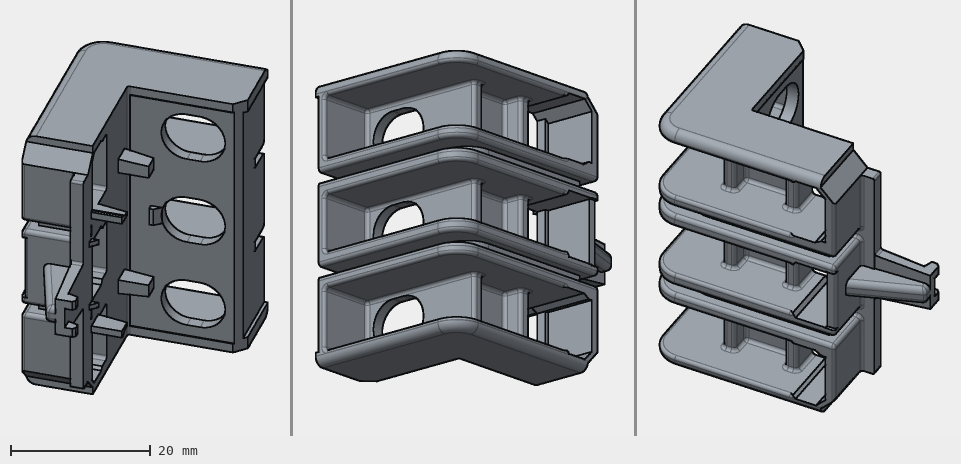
import cadquery as cq

HALF_HEIGHT = 21.2
LENGTH_X = 27.5
SIDE_LEG_WIDTH = 10.0
SIDE_LEG_END = -30.05
BACK_LEG_FRONT = -11.25
BACK_LEG_CHAMFER = 1.7
CORNER_RADIUS = 4.05
INSIDE_CORNER_RADIUS = 0.35
END_EDGE_RADIUS = 0.42
OUTER_EDGE_RADIUS = 1.45
GAP_EDGE_RADIUS = 0.65
RIGHT_LIP = 0.55
RIGHT_LIP_INNER_Z = 19.25
FRONT_LIP_INNER_Z = 19.7

BAR_END = -27.77
BAR_THICKNESS = 1.2
SLOPE_END_Z = 17.65

GAP_TOP = 7.9
GAP_BOTTOM = 6.3
WEB_INSET_X = 2.0
WEB_INSET_Y = 4.4
WEB_INSET_END = 1.9

OUTER_BAY_FLOOR = 9.7
OUTER_BAY_CEILING = 19.2
OUTER_BAY_CEILING_STEP = 0.42
OUTER_BAY_FLOOR_RISE = 0.65
FLOOR_RISE_START = -26.9
FLOOR_RISE_END = -27.9
MIDDLE_BAY_HALF_HEIGHT = 4.32
MIDDLE_BAY_STEP = 0.68
STEP_START = -23.25
STEP_LENGTH = 0.5
BAY_END = -28.58
BAY_OVERSHOOT = 2.1
WINDOW_END = -28.0
WINDOW_START = -21.1
CEILING_SLOPE_START = -27.05
MIDDLE_WALL_INSET = 0.5
MIDDLE_WALL_HALF_HEIGHT = 5.1

COLUMN_FACE_X = 5.25
BAY_FILLET = 0.55
MOUTH_FILLET = 0.5
SIDE_WALL_FACE_X = 8.4
BACK_PLATE_BACK = -9.15
BACK_PLATE_FRONT = -11.05
REAR_COLUMN_FRONT = -19.15
END_WALL_FACE_X = 25.85

HOLE_X = 19.8
HOLE_WIDTH = 9.6
HOLE_HEIGHT = 7.6
HOLE_PITCH = 14.15

FLANGE_X = 8.05
FLANGE_END = -32.22
FLANGE_HALF_HEIGHT = 17.65
ARM_TIP = -41.0
ARM_ROOT_HALF_HEIGHT = 3.77
ARM_TIP_HALF_HEIGHT = 3.0
ARM_TIP_X = 8.6
RIB_HALF_HEIGHT = 1.4
RIB_ROOT_X = 3.4
RIB_TIP_X = 7.2
RIB_EDGE_RADIUS = 0.95
RIB_TIP_RADIUS = 0.5
ARM_ROOT_FILLET = 0.4
FLANGE_FILLET = 0.45
FLANGE_EDGE_RADIUS = 0.35
HOOK_END_X = 11.55
HOOK_ROOT = -39.25
HOOK_INNER_Z = 1.6
HOOK_OVERLAP = 0.42
HOOK_TIP_CHAMFER = 0.42
HOOK_TIP_LENGTH = 1.27

TAB_END_X = 14.6
TAB_BOTTOM = 9.15
REAR_TAB_ROOT_START = -12.68
REAR_TAB_TIP_START = -13.35
REAR_TAB_END = -15.7
REAR_TAB_ROOT_TOP = 11.45
REAR_TAB_TIP_TOP = 11.1
FRONT_TAB_ROOT_START = -25.15
FRONT_TAB_TIP_START = -25.95
FRONT_TAB_END = -28.35
FRONT_TAB_TOP = 10.25
NUB_Z = (4.95, 5.75)
NUB_LENGTH = 1.05

STOP_HALF_HEIGHT = 1.35
STOP_START_X = 13.45
STOP_FLAT_END_X = 14.05
STOP_END_X = 15.2
STOP_DEPTH = 0.85


def box(x_range, y_range, z_range):
    """Axis-aligned block given by its limits."""
    size = [limits[1] - limits[0] for limits in (x_range, y_range, z_range)]
    corner = (x_range[0], y_range[0], z_range[0])
    return cq.Workplane("XY").box(*size, centered=False).translate(corner)


def plan_prism(points, z_low, z_high):
    """Vertical prism over a closed XY polygon."""
    return cq.Workplane("XY").workplane(offset=z_low).polyline(points).close().extrude(z_high - z_low)


def side_prism(points, x_low, x_high):
    """Prism along X over a closed YZ polygon."""
    return cq.Workplane("YZ").workplane(offset=x_low).polyline(points).close().extrude(x_high - x_low)


def mirrored(shape):
    """The shape joined with its mirror image below z = 0."""
    return shape.union(shape.mirror("XY"))


def nearest(x, y, z):
    """Selector of the edge or face whose centre is nearest to a point."""
    return cq.selectors.NearestToPointSelector((x, y, z))


def l_block(z_low, z_high, inset_x=0.0, inset_y=0.0, inset_end=0.0):
    """L-shaped slab; the insets move its left side, back side and free end inwards."""
    end = SIDE_LEG_END + inset_end
    outline = [
        (inset_x, -inset_y),
        (LENGTH_X, -inset_y),
        (LENGTH_X, BACK_LEG_FRONT + BACK_LEG_CHAMFER),
        (LENGTH_X - BACK_LEG_CHAMFER, BACK_LEG_FRONT),
        (SIDE_LEG_WIDTH, BACK_LEG_FRONT),
        (SIDE_LEG_WIDTH, end),
        (inset_x, end),
    ]
    slab = plan_prism(outline, z_low, z_high)
    slab = slab.edges("|Z and <X and >Y").fillet(CORNER_RADIUS)
    inside_corner = nearest(SIDE_LEG_WIDTH, BACK_LEG_FRONT, (z_low + z_high) / 2)
    return slab.edges("|Z").edges(inside_corner).fillet(INSIDE_CORNER_RADIUS)


def side_envelope():
    """YZ silhouette of the body with the sloped free end."""
    upper_half = [
        (0, HALF_HEIGHT),
        (BAR_END, HALF_HEIGHT),
        (BAR_END, HALF_HEIGHT - BAR_THICKNESS),
        (SIDE_LEG_END, SLOPE_END_Z),
    ]
    lower_half = [(y, -z) for y, z in reversed(upper_half)]
    return side_prism(upper_half + lower_half, 0, LENGTH_X)


def storey_blocks():
    """Three rounded storeys joined by the recessed webs in the gaps."""
    upper = l_block(GAP_TOP, HALF_HEIGHT).intersect(side_envelope())
    upper = upper.faces(">Z").edges("<X").fillet(OUTER_EDGE_RADIUS)
    upper = upper.edges("|Z and <Y and <X").fillet(END_EDGE_RADIUS)
    upper = upper.faces("<Z").edges("<X").fillet(GAP_EDGE_RADIUS)
    middle = l_block(-GAP_BOTTOM, GAP_BOTTOM)
    middle = middle.edges("|Z and <Y and <X").fillet(END_EDGE_RADIUS)
    middle = middle.faces("<Z or >Z").edges("<X").fillet(GAP_EDGE_RADIUS)
    web = l_block(-GAP_TOP, GAP_TOP, WEB_INSET_X, WEB_INSET_Y, WEB_INSET_END)
    return mirrored(upper).union(middle).union(web)


def open_bay(floor, ceiling):
    """Air of one bay around the columns; it reaches past the open left and back sides."""
    outline = [
        (-BAY_OVERSHOOT, BAY_OVERSHOOT),
        (END_WALL_FACE_X, BAY_OVERSHOOT),
        (END_WALL_FACE_X, BACK_PLATE_BACK),
        (COLUMN_FACE_X, BACK_PLATE_BACK),
        (COLUMN_FACE_X, BACK_PLATE_FRONT),
        (SIDE_WALL_FACE_X, BACK_PLATE_FRONT),
        (SIDE_WALL_FACE_X, REAR_COLUMN_FRONT),
        (COLUMN_FACE_X, REAR_COLUMN_FRONT),
        (COLUMN_FACE_X, WINDOW_START),
        (SIDE_LEG_WIDTH + BAY_OVERSHOOT, WINDOW_START),
        (SIDE_LEG_WIDTH + BAY_OVERSHOOT, STEP_START),
        (-BAY_OVERSHOOT, STEP_START),
    ]
    air = plan_prism(outline, floor, ceiling)
    air = air.edges("|Z").fillet(BAY_FILLET)
    return air.faces("<Z or >Z").edges().fillet(BAY_FILLET)


def end_room(x_low, x_high, y_end):
    """Stepped and sloped end of all three bays between two X limits, up to the end wall."""
    start = WINDOW_START - BAY_FILLET
    ceiling = OUTER_BAY_CEILING + OUTER_BAY_CEILING_STEP
    floor = OUTER_BAY_FLOOR + OUTER_BAY_FLOOR_RISE
    outer = [
        (start, OUTER_BAY_FLOOR),
        (FLOOR_RISE_START, OUTER_BAY_FLOOR),
        (FLOOR_RISE_END, floor),
        (y_end, floor),
        (y_end, ceiling - (CEILING_SLOPE_START - y_end)),
        (CEILING_SLOPE_START, ceiling),
        (STEP_START - STEP_LENGTH, ceiling),
        (STEP_START, OUTER_BAY_CEILING),
        (start, OUTER_BAY_CEILING),
    ]
    stepped = MIDDLE_BAY_HALF_HEIGHT + MIDDLE_BAY_STEP
    middle_upper = [
        (start, MIDDLE_BAY_HALF_HEIGHT),
        (STEP_START, MIDDLE_BAY_HALF_HEIGHT),
        (STEP_START - STEP_LENGTH, stepped),
        (y_end, stepped),
    ]
    middle = middle_upper + [(y, -z) for y, z in reversed(middle_upper)]
    return mirrored(side_prism(outer, x_low, x_high)).union(side_prism(middle, x_low, x_high))


def cut_bays(solid):
    """Open the three bays and their windows, and round the edges of their mouths."""
    levels = [
        (OUTER_BAY_FLOOR, OUTER_BAY_CEILING),
        (-MIDDLE_BAY_HALF_HEIGHT, MIDDLE_BAY_HALF_HEIGHT),
        (-OUTER_BAY_CEILING, -OUTER_BAY_FLOOR),
    ]
    for floor, ceiling in levels:
        solid = solid.cut(open_bay(floor, ceiling))
        floor_edge = nearest(0, (STEP_START - CORNER_RADIUS) / 2, floor)
        solid = solid.edges("|Y").edges(floor_edge).fillet(MOUTH_FILLET)
    solid = solid.cut(end_room(0, SIDE_WALL_FACE_X, BAY_END))
    solid = solid.cut(end_room(SIDE_WALL_FACE_X, SIDE_LEG_WIDTH, WINDOW_END))
    middle_wall_relief = box(
        (0, MIDDLE_WALL_INSET),
        (SIDE_LEG_END, BAY_END),
        (-MIDDLE_WALL_HALF_HEIGHT, MIDDLE_WALL_HALF_HEIGHT),
    )
    solid = solid.cut(middle_wall_relief)
    relief_edge = nearest(MIDDLE_WALL_INSET, SIDE_LEG_END, 0)
    return solid.edges("|Z").edges(relief_edge).fillet(END_EDGE_RADIUS)


def back_plate_cuts():
    """Obround holes, the shallow recess of the back plate's front face and the right end's recess."""
    holes = (
        cq.Workplane("XZ", origin=(HOLE_X, 0, 0))
        .pushPoints([(0, -HOLE_PITCH), (0, 0), (0, HOLE_PITCH)])
        .slot2D(HOLE_WIDTH, HOLE_HEIGHT)
        .extrude(-BACK_LEG_FRONT)
    )
    recess = box(
        (SIDE_LEG_WIDTH + INSIDE_CORNER_RADIUS, LENGTH_X),
        (BACK_LEG_FRONT, BACK_PLATE_FRONT),
        (-FRONT_LIP_INNER_Z, FRONT_LIP_INNER_Z),
    )
    end_recess = box(
        (LENGTH_X - RIGHT_LIP, LENGTH_X),
        (BACK_LEG_FRONT, 0),
        (-RIGHT_LIP_INNER_Z, RIGHT_LIP_INNER_Z),
    )
    return holes.union(recess).union(end_recess)


def arm_blade():
    """Tapered plate of the latch arm with its two hooks."""
    plate_plan = [
        (FLANGE_X, BAY_END),
        (SIDE_LEG_WIDTH, BAY_END),
        (SIDE_LEG_WIDTH, ARM_TIP),
        (ARM_TIP_X, ARM_TIP),
    ]
    plate = plan_prism(plate_plan, -ARM_ROOT_HALF_HEIGHT, ARM_ROOT_HALF_HEIGHT)
    hook_plan = [
        (SIDE_LEG_WIDTH - HOOK_OVERLAP, ARM_TIP),
        (HOOK_END_X - HOOK_TIP_CHAMFER, ARM_TIP),
        (HOOK_END_X, ARM_TIP + HOOK_TIP_CHAMFER),
        (HOOK_END_X, ARM_TIP + HOOK_TIP_LENGTH),
        (SIDE_LEG_WIDTH, HOOK_ROOT),
        (SIDE_LEG_WIDTH - HOOK_OVERLAP, HOOK_ROOT),
    ]
    hooks = mirrored(plan_prism(hook_plan, HOOK_INNER_Z, ARM_ROOT_HALF_HEIGHT))
    upper_taper = [
        (BAY_END, ARM_ROOT_HALF_HEIGHT),
        (FLANGE_END, ARM_ROOT_HALF_HEIGHT),
        (ARM_TIP, ARM_TIP_HALF_HEIGHT),
    ]
    taper = upper_taper + [(y, -z) for y, z in reversed(upper_taper)]
    return plate.union(hooks).intersect(side_prism(taper, 0, LENGTH_X))


def arm_rib():
    """Rounded stiffening rib along the middle of the latch arm."""
    rib_plan = [
        (RIB_ROOT_X, SIDE_LEG_END),
        (SIDE_LEG_WIDTH, SIDE_LEG_END),
        (SIDE_LEG_WIDTH, ARM_TIP),
        (RIB_TIP_X, ARM_TIP),
    ]
    rib = plan_prism(rib_plan, -RIB_HALF_HEIGHT, RIB_HALF_HEIGHT)
    rib = rib.edges("|Z").edges(nearest(RIB_TIP_X, ARM_TIP, 0)).fillet(RIB_TIP_RADIUS)
    outer_face = nearest((RIB_ROOT_X + RIB_TIP_X) / 2, (SIDE_LEG_END + ARM_TIP) / 2, 0)
    return rib.faces(outer_face).edges("not |Z").fillet(RIB_EDGE_RADIUS)


def latch_arm():
    """Flange with the tapered latch arm, its stiffening rib and two hooks."""
    flange = box(
        (FLANGE_X, SIDE_LEG_WIDTH), (FLANGE_END, BAY_END), (-FLANGE_HALF_HEIGHT, FLANGE_HALF_HEIGHT)
    )
    flange = flange.edges("|X and <Y").fillet(FLANGE_EDGE_RADIUS)
    arm = flange.union(arm_blade())
    for side in (-1, 1):
        root = nearest(SIDE_LEG_WIDTH - 0.42, FLANGE_END, side * ARM_ROOT_HALF_HEIGHT)
        arm = arm.edges("|X").edges(root).fillet(ARM_ROOT_FILLET)
    return arm.union(arm_rib())


def round_flange_roots(solid):
    """Fillets where the flange grows out of the side leg's free end."""
    for level in (-HOLE_PITCH, -GAP_BOTTOM / 2, GAP_BOTTOM / 2, HOLE_PITCH):
        flange_root = nearest(FLANGE_X, SIDE_LEG_END, level)
        solid = solid.edges("|Z").edges(flange_root).fillet(FLANGE_FILLET)
    return solid


def guide_tabs():
    """Two tabs and a nub above and below mid-height, on the inner face of the side leg."""
    rear_plan = [
        (SIDE_LEG_WIDTH, REAR_TAB_ROOT_START),
        (TAB_END_X, REAR_TAB_TIP_START),
        (TAB_END_X, REAR_TAB_END),
        (SIDE_LEG_WIDTH, REAR_TAB_END),
    ]
    rear_side = [
        (SIDE_LEG_WIDTH, TAB_BOTTOM),
        (TAB_END_X, TAB_BOTTOM),
        (TAB_END_X, REAR_TAB_TIP_TOP),
        (SIDE_LEG_WIDTH, REAR_TAB_ROOT_TOP),
    ]
    rear_tab = plan_prism(rear_plan, TAB_BOTTOM, REAR_TAB_ROOT_TOP).intersect(
        cq.Workplane("XZ").polyline(rear_side).close().extrude(-SIDE_LEG_END)
    )
    front_plan = [
        (SIDE_LEG_WIDTH, FRONT_TAB_ROOT_START),
        (TAB_END_X, FRONT_TAB_TIP_START),
        (TAB_END_X, FRONT_TAB_END),
        (SIDE_LEG_WIDTH, FRONT_TAB_END),
    ]
    front_side = [
        (WINDOW_START, TAB_BOTTOM),
        (FRONT_TAB_END, TAB_BOTTOM),
        (FRONT_TAB_END, FRONT_TAB_TOP),
        (FLOOR_RISE_END, FRONT_TAB_TOP),
        (FLOOR_RISE_START, OUTER_BAY_FLOOR),
        (WINDOW_START, OUTER_BAY_FLOOR),
    ]
    front_tab = plan_prism(front_plan, TAB_BOTTOM, FRONT_TAB_TOP).intersect(
        side_prism(front_side, 0, LENGTH_X)
    )
    nub = [
        (SIDE_LEG_WIDTH, FRONT_TAB_END - NUB_LENGTH),
        (SIDE_LEG_WIDTH, FRONT_TAB_END),
        (SIDE_LEG_WIDTH + NUB_LENGTH, FRONT_TAB_END),
    ]
    return mirrored(rear_tab.union(front_tab).union(plan_prism(nub, *NUB_Z)))


def wedge_stop():
    """Small wedge on the front face of the back plate."""
    outline = [
        (STOP_START_X, BACK_PLATE_FRONT),
        (STOP_START_X, BACK_PLATE_FRONT - STOP_DEPTH),
        (STOP_FLAT_END_X, BACK_PLATE_FRONT - STOP_DEPTH),
        (STOP_END_X, BACK_PLATE_FRONT),
    ]
    return plan_prism(outline, -STOP_HALF_HEIGHT, STOP_HALF_HEIGHT)


body = cut_bays(storey_blocks()).cut(back_plate_cuts())
body = round_flange_roots(body.union(latch_arm()))
result = body.union(guide_tabs()).union(wedge_stop())